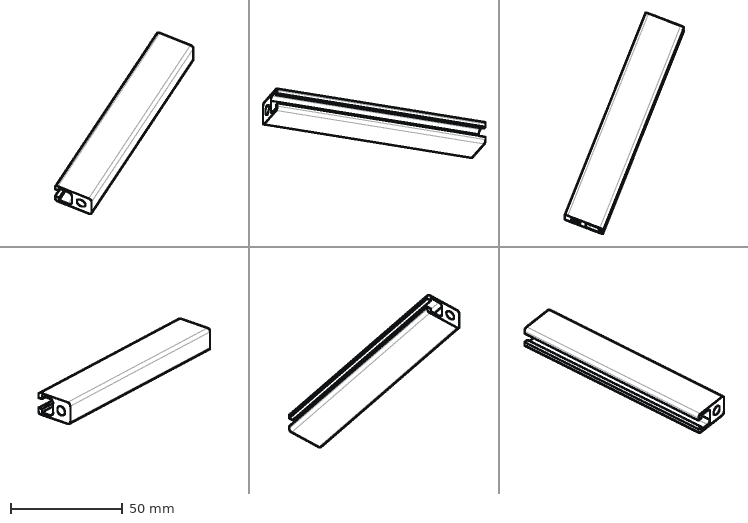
import cadquery as cq

width = 18.5
length = 100.0
height = 10.8
outer_radius = 1.5

lip_thickness = 2.1
slot_height = 5.0
cavity_height = 8.2
cavity_back = 8.5
cavity_radius = 1.8

hole_diameter = 4.4
hole_offset = 13.2

open_face_x = -width / 2


def make_bar():
    return cq.Workplane("XY").box(width, length, height).edges("|Y").fillet(outer_radius)


def make_channel():
    """Narrow mouth between the lips, joined to a wider cavity with rounded inner corners."""
    cavity_depth = cavity_back - lip_thickness
    cavity = (
        cq.Workplane("XY")
        .box(cavity_depth, length, cavity_height)
        .translate((open_face_x + lip_thickness + cavity_depth / 2, 0, 0))
        .edges("|Y and >X")
        .fillet(cavity_radius)
    )
    mouth = (
        cq.Workplane("XY")
        .box(cavity_back, length, slot_height)
        .translate((open_face_x + cavity_back / 2, 0, 0))
    )
    return cavity.union(mouth)


def make_hole():
    return (
        cq.Workplane("XZ")
        .center(open_face_x + hole_offset, 0)
        .circle(hole_diameter / 2)
        .extrude(length / 2, both=True)
    )


result = make_bar().cut(make_channel()).cut(make_hole())